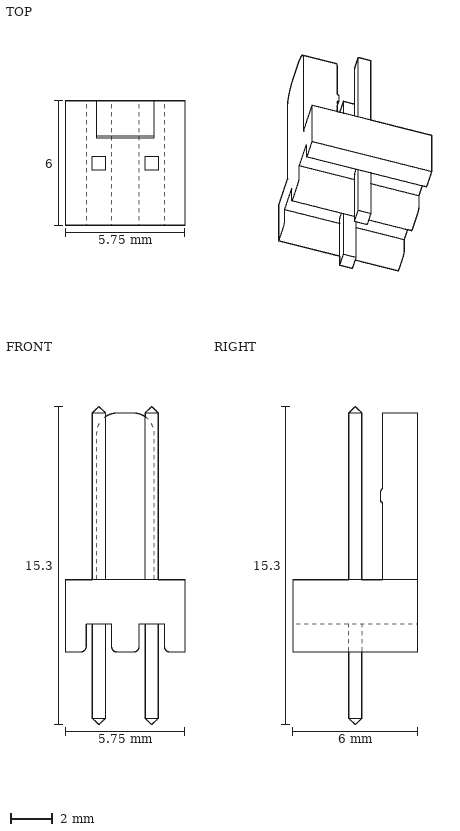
import cadquery as cq

body_width = 5.75
body_depth = 6.0
body_bottom = 3.49
body_top = 6.98

overall_height = 15.3
pin_pitch = 2.54
pin_size = 0.65
tip_height = 0.3
tip_bulge_offset = 0.21
tip_bulge_height = 0.17
pin_xs = (-pin_pitch / 2, pin_pitch / 2)

slot_width = 1.21
slot_top = 4.83
foot_radius = 0.28

latch_width = 2.75
latch_depth = 1.7
latch_top = overall_height - tip_height
latch_radius = 1.0

ridge_bottom = 10.63
ridge_top = 11.4
ridge_depth = 0.09
ridge_upper_curve = 0.2
ridge_lower_curve = 0.15

back_y = body_depth / 2
latch_front_y = back_y - latch_depth


def make_body():
    """Block with a slot running front to back beneath each pin."""
    body = cq.Workplane("XY").workplane(offset=body_bottom).rect(body_width, body_depth)
    body = body.extrude(body_top - body_bottom)
    slots = cq.Workplane("XY").workplane(offset=body_bottom)
    slots = slots.pushPoints([(x, 0) for x in pin_xs])
    slots = slots.rect(slot_width, body_depth).extrude(slot_top - body_bottom)
    body = body.cut(slots)
    half_span = (pin_pitch + slot_width) / 2 + foot_radius / 2
    mouth_edges = cq.selectors.BoxSelector(
        (-half_span, -body_depth, body_bottom - foot_radius / 2),
        (half_span, body_depth, body_bottom + foot_radius / 2),
    )
    return body.edges("|Y").edges(mouth_edges).fillet(foot_radius)


def make_latch():
    """Upright wall with rounded upper corners."""
    height = latch_top - body_top
    wall = cq.Workplane("XY").box(latch_width, latch_depth, height, centered=(True, False, False))
    wall = wall.edges("|Y and >Z").fillet(latch_radius)
    return wall.translate((0, latch_front_y, body_top))


def curve_radius(height):
    """Radius of the two equal arcs of an S-curve that starts and ends upright."""
    return (height**2 + ridge_depth**2) / (4 * ridge_depth)


def make_ridge():
    """Catch whose front meets the wall in an S-shaped curve above and below."""
    buried_y = latch_front_y + ridge_depth
    middle_y = latch_front_y - ridge_depth / 2
    crest_y = latch_front_y - ridge_depth
    profile = (
        cq.Workplane("YZ", origin=(-latch_width / 2, 0, 0))
        .moveTo(buried_y, ridge_bottom)
        .lineTo(latch_front_y, ridge_bottom)
        .radiusArc((middle_y, ridge_bottom + ridge_lower_curve / 2), -curve_radius(ridge_lower_curve))
        .radiusArc((crest_y, ridge_bottom + ridge_lower_curve), curve_radius(ridge_lower_curve))
        .lineTo(crest_y, ridge_top - ridge_upper_curve)
        .radiusArc((middle_y, ridge_top - ridge_upper_curve / 2), curve_radius(ridge_upper_curve))
        .radiusArc((latch_front_y, ridge_top), -curve_radius(ridge_upper_curve))
        .lineTo(buried_y, ridge_top)
        .close()
    )
    return profile.extrude(latch_width)


def make_tip(base_edges, base_z, direction):
    """Smooth bulging surface from a square outline to a central point; direction is 1 for up, -1 for down."""
    bulge_z = base_z + direction * tip_bulge_height
    bulge_points = [
        cq.Vector(x * tip_bulge_offset, y * tip_bulge_offset, bulge_z)
        for x, y in ((1, 0), (-1, 0), (0, 1), (0, -1))
    ]
    apex = cq.Vector(0, 0, base_z + direction * tip_height)
    return cq.Face.makeNSidedSurface(base_edges, [*bulge_points, apex])


def make_pin():
    """Square pin on the Z axis with a domed point at both ends."""
    shaft_length = overall_height - 2 * tip_height
    shaft = cq.Workplane("XY").workplane(offset=tip_height).rect(pin_size, pin_size).extrude(shaft_length)
    sides = shaft.faces("#Z").vals()
    lower_tip = make_tip(shaft.faces("<Z").edges().vals(), tip_height, -1)
    upper_tip = make_tip(shaft.faces(">Z").edges().vals(), overall_height - tip_height, 1)
    shell = cq.Shell.makeShell([*sides, lower_tip, upper_tip])
    return cq.Workplane(cq.Solid.makeSolid(shell).fix())


result = make_body().union(make_latch()).union(make_ridge())
for pin_x in pin_xs:
    result = result.union(make_pin().translate((pin_x, 0, 0)))